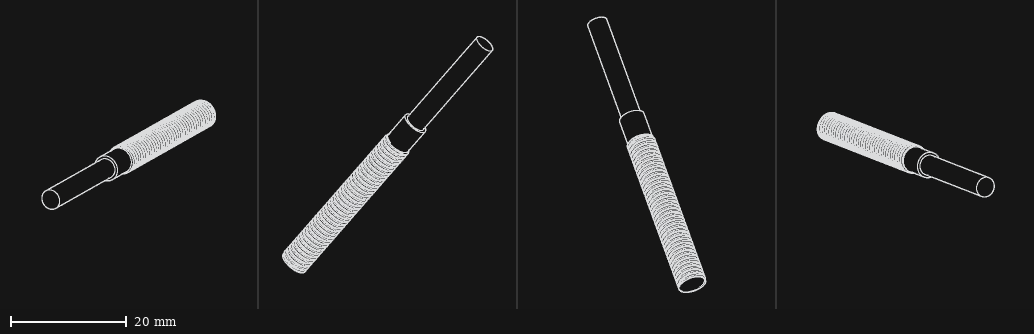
import cadquery as cq

total_length = 55
thread_length = 30.05
collar_length = 5.0
rod_length = total_length - thread_length - collar_length
shoulder_y = rod_length + collar_length

thread_diameter = 5.0
core_diameter = 4.5
rod_diameter = 3.5
thread_radius = thread_diameter / 2
core_radius = core_diameter / 2
thread_depth = thread_radius - core_radius

turns_in_thread = 37.5
pitch = thread_length / turns_in_thread
crest_width = 0.4 * pitch
foot_width = 0.75 * pitch
embed = 0.05
start_angle = 270


def bar(diameter, start_y, length):
    """Round bar running along +Y."""
    plane = cq.Workplane("XZ", origin=(0, start_y, 0))
    return plane.circle(diameter / 2).extrude(-length)


def helical_ridge():
    """Right-handed ridge around +Z, one pitch too long at each end."""
    inner_radius = core_radius - embed
    flank_slope = (foot_width - crest_width) / 2 / thread_depth
    inner_half = foot_width / 2 + flank_slope * embed
    crest_half = crest_width / 2
    profile = cq.Workplane("XZ").polyline(
        [
            (inner_radius, -inner_half),
            (thread_radius, -crest_half),
            (thread_radius, crest_half),
            (inner_radius, inner_half),
        ]
    ).close()
    helix = cq.Wire.makeHelix(pitch, thread_length + 2 * pitch, core_radius)
    ridge = profile.sweep(cq.Workplane(obj=helix), isFrenet=True)
    return ridge.translate((0, 0, -pitch))


def thread():
    """Ridge laid along +Y, cut flat at the far end and chamfered down to the core at the shoulder."""
    ridge = (
        helical_ridge()
        .rotate((0, 0, 0), (0, 0, 1), start_angle)
        .rotate((0, 0, 0), (1, 0, 0), -90)
        .translate((0, shoulder_y, 0))
    )
    clearance = 0.55
    envelope = bar(thread_diameter + 2 * clearance, shoulder_y, thread_length)
    envelope = envelope.faces("<Y").chamfer(thread_depth + clearance)
    return ridge.intersect(envelope)


core_and_collar = bar(core_diameter, rod_length, total_length - rod_length)
rod = bar(rod_diameter, 0, rod_length)
result = core_and_collar.union(thread()).union(rod)